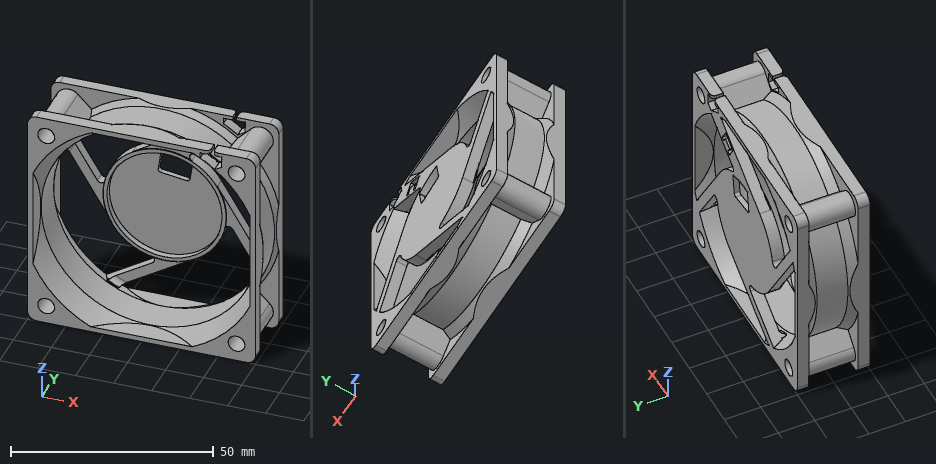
import cadquery as cq
import math

SIDE = 60.0
DEPTH = 20.0
CORNER_RADIUS = 2.4
FRONT_FLANGE = 3.35
BACK_FLANGE = 3.2
FRONT = -DEPTH / 2
BACK = DEPTH / 2
FRONT_FLANGE_INNER = FRONT + FRONT_FLANGE
BACK_FLANGE_INNER = BACK - BACK_FLANGE

BORE_RADIUS = 28.45
DUCT_WALL = 1.3
FRONT_FLARE_DEPTH = 5.7
FRONT_FLARE_ANGLE = 28.0
BACK_FLARE_DEPTH = 5.2
BACK_FLARE_ANGLE = 23.0
MOUTH_RADIUS = BORE_RADIUS + FRONT_FLARE_DEPTH * math.tan(math.radians(FRONT_FLARE_ANGLE))
FLARE_LIMIT = 57.0

HOLE_OFFSET = 25.0
HOLE_DIAMETER = 4.4
POST_OFFSET = 25.2
POST_RADIUS = 3.35

POCKET_LEFT = 15.4
POCKET_RIGHT = 21.1
POCKET_TOP = 29.0
POCKET_FLOOR = 26.05
POCKET_FLOOR_TILT = 30.0
THROAT_LEFT = 17.95
THROAT_RIGHT = 18.85
THROAT_FILLET = 1.25

HUB_RADIUS = 16.2
HUB_RIM_WALL = 1.1
HUB_HEIGHT = 3.3
HUB_FLOOR = 1.55
HUB_INNER_RADIUS = HUB_RADIUS - HUB_RIM_WALL

WINDOW_TILT = 8.0
WINDOW_LEFT = -3.55
WINDOW_RIGHT = 4.85
WINDOW_BOTTOM = 8.05
WINDOW_CORNER = 0.7

STRUT_COUNT = 4
STRUT_TILT = 31.5
STRUT_HEIGHT = 3.0
STRUT_FRONT = BACK - STRUT_HEIGHT
STRUT_INNER_OFFSET = 13.45
CABLE_STRUT_INNER_OFFSET = 10.4
STRUT_ROOT_FILLET = 1.1
STRUT_END_FILLET = 1.45

CLIP_START = 17.35
CLIP_END = 22.15
CLIP_INNER = 11.45
CLIP_OUTER = 15.3
TONGUE_START = 18.35
TONGUE_END = 21.25
TONGUE_OUTER = 13.45
TONGUE_HEIGHT = 1.2


def box(x_range, y_range, z_range):
    """Axis-aligned block between the given limits."""
    size = [high - low for low, high in (x_range, y_range, z_range)]
    corner = (x_range[0], y_range[0], z_range[0])
    return cq.Workplane("XY").box(*size, centered=False).translate(corner)


def square(side, y_start, y_end):
    """Square block centred on the Y axis."""
    half = side / 2
    return box((-half, half), (y_start, y_end), (-half, half))


def cylinder(radius, y_start, y_end, x=0.0, z=0.0):
    """Cylinder parallel to Y."""
    plane = cq.Plane((0, y_start, 0), xDir=(1, 0, 0), normal=(0, 1, 0))
    return cq.Workplane(plane).center(x, -z).circle(radius).extrude(y_end - y_start)


def turned(body, angle):
    """The body rotated about the Y axis."""
    return body.rotate((0, 0, 0), (0, 1, 0), angle)


def flared_body(offset):
    """Solid of revolution about Y: the flared bore, grown outward by an even offset."""
    front_angle = math.radians(FRONT_FLARE_ANGLE)
    back_angle = math.radians(BACK_FLARE_ANGLE)
    front_depth = FRONT_FLARE_DEPTH + offset * math.tan(front_angle / 2)
    back_depth = BACK_FLARE_DEPTH + offset * math.tan(back_angle / 2)
    radius = BORE_RADIUS + offset
    return (
        cq.Workplane("XY")
        .moveTo(0, FRONT)
        .lineTo(radius + front_depth * math.tan(front_angle), FRONT)
        .lineTo(radius, FRONT + front_depth)
        .lineTo(radius, BACK - back_depth)
        .lineTo(radius + back_depth * math.tan(back_angle), BACK)
        .lineTo(0, BACK)
        .close()
        .revolve(360, (0, 0, 0), (0, 1, 0))
    )


def make_pocket(y_start, y_end):
    """Room for the cable inside the notch, ending just outside the flared mouth of the duct."""
    drop = (POCKET_RIGHT - POCKET_LEFT) * math.tan(math.radians(POCKET_FLOOR_TILT))
    outline = [
        (POCKET_LEFT, POCKET_TOP),
        (POCKET_RIGHT, POCKET_TOP),
        (POCKET_RIGHT, POCKET_FLOOR),
        (POCKET_LEFT, POCKET_FLOOR - drop),
    ]
    block = cq.Workplane("XZ").polyline(outline).close().extrude(y_start - y_end)
    return block.translate((0, y_start, 0)).cut(cylinder(MOUTH_RADIUS, y_start, y_end))


def make_flange(y_start, y_end, outer_face):
    """Rounded square plate with the cable notch in its top edge."""
    half = SIDE / 2
    margin = 0.05
    plate = square(SIDE, y_start, y_end).edges("|Y").fillet(CORNER_RADIUS)
    throat = box((THROAT_LEFT, THROAT_RIGHT), (y_start, y_end), (POCKET_TOP, half))
    lips = cq.selectors.BoxSelector(
        (POCKET_LEFT, outer_face - margin, POCKET_TOP),
        (POCKET_RIGHT, outer_face + margin, half),
    )
    notched = plate.cut(make_pocket(y_start, y_end)).cut(throat)
    return notched.edges("|Z").edges(lips).fillet(THROAT_FILLET)


def make_frame():
    """Flanges, duct and drilled corner posts, with the duct bored out."""
    frame = flared_body(DUCT_WALL).intersect(square(SIDE, FRONT, BACK))
    frame = frame.cut(make_pocket(FRONT, FRONT_FLANGE_INNER))
    frame = frame.cut(make_pocket(BACK_FLANGE_INNER, BACK))
    frame = frame.union(make_flange(FRONT, FRONT_FLANGE_INNER, FRONT))
    frame = frame.union(make_flange(BACK_FLANGE_INNER, BACK, BACK))
    post_distance = POST_OFFSET * math.sqrt(2)
    web = box((0, post_distance), (FRONT, BACK), (-POST_RADIUS, POST_RADIUS))
    post_with_web = web.union(cylinder(POST_RADIUS, FRONT, BACK, post_distance))
    for index in range(4):
        frame = frame.union(turned(post_with_web, 45 + 90 * index))
    opening = flared_body(0).intersect(square(FLARE_LIMIT, FRONT, BACK))
    frame = frame.cut(opening)
    for x in (-HOLE_OFFSET, HOLE_OFFSET):
        for z in (-HOLE_OFFSET, HOLE_OFFSET):
            frame = frame.cut(cylinder(HOLE_DIAMETER / 2, FRONT, BACK, x, z))
    return frame


def make_strut(inner_offset):
    """Strut along +X above the hub centre, blended into the hub disc at its root."""
    root = math.sqrt(HUB_RADIUS**2 - inner_offset**2)
    bar = box((0, SIDE / 2), (STRUT_FRONT, BACK), (inner_offset, HUB_RADIUS))
    root_place = (root, BACK - STRUT_HEIGHT / 2, inner_offset)
    root_edge = cq.selectors.NearestToPointSelector(root_place)
    strut = cylinder(HUB_RADIUS, STRUT_FRONT, BACK).union(bar)
    return strut.edges("|Y").edges(root_edge).fillet(STRUT_ROOT_FILLET)


def make_end_fillet():
    """Ring with a concave profile between the strut fronts and the bore."""
    crease = BORE_RADIUS - STRUT_END_FILLET
    ring_outside = BORE_RADIUS + DUCT_WALL / 2
    ring_front = STRUT_FRONT - STRUT_END_FILLET
    sag = STRUT_END_FILLET * math.sqrt(0.5)
    return (
        cq.Workplane("XY")
        .moveTo(crease, BACK)
        .lineTo(crease, STRUT_FRONT)
        .threePointArc((crease + sag, ring_front + sag), (BORE_RADIUS, ring_front))
        .lineTo(ring_outside, ring_front)
        .lineTo(ring_outside, BACK)
        .close()
        .revolve(360, (0, 0, 0), (0, 1, 0))
    )


def make_clip_opening():
    """Opening in the wide strut around a thin tongue."""
    opening = box((CLIP_START, CLIP_END), (STRUT_FRONT, BACK), (CLIP_INNER, CLIP_OUTER))
    tongue_depth = (BACK - TONGUE_HEIGHT, BACK)
    tongue = box((TONGUE_START, TONGUE_END), tongue_depth, (CLIP_INNER, TONGUE_OUTER))
    return opening.cut(tongue)


def make_hub_window():
    """Tilted rectangular opening, ended by the inner side of the rim."""
    window = box((WINDOW_LEFT, WINDOW_RIGHT), (FRONT, BACK), (WINDOW_BOTTOM, HUB_RADIUS))
    window = window.edges("|Y and <Z").fillet(WINDOW_CORNER)
    return turned(window, WINDOW_TILT).intersect(cylinder(HUB_INNER_RADIUS, FRONT, BACK))


def make_spider():
    """Hub cup and its struts, reaching into the middle of the duct wall."""
    spider = cylinder(HUB_RADIUS, BACK - HUB_HEIGHT, BACK)
    end_fillet = make_end_fillet()
    for index in range(STRUT_COUNT):
        is_cable_strut = index == 0
        inner_offset = CABLE_STRUT_INNER_OFFSET if is_cable_strut else STRUT_INNER_OFFSET
        end_zone = box((0, SIDE / 2), (FRONT, BACK), (inner_offset, HUB_RADIUS))
        strut = make_strut(inner_offset).union(end_fillet.intersect(end_zone))
        if is_cable_strut:
            strut = strut.cut(make_clip_opening())
        spider = spider.union(turned(strut, index * 360 / STRUT_COUNT - STRUT_TILT))
    recess = cylinder(HUB_INNER_RADIUS, FRONT, BACK - HUB_FLOOR)
    spider = spider.cut(recess).cut(make_hub_window())
    return spider.intersect(flared_body(DUCT_WALL / 2))


result = make_frame().union(make_spider())